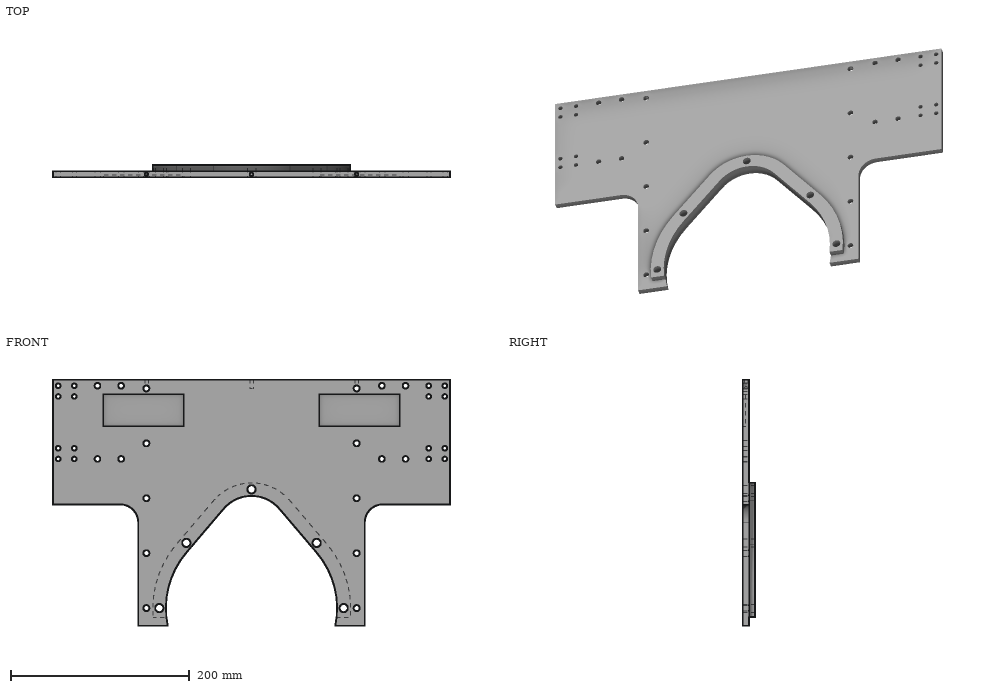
import cadquery as cq
import math

plate_width = 445.0
plate_height = 276.0
plate_thickness = 7.0
wing_height = 140.0
leg_span = 254.0
shoulder_radius = 20.0

arch_center_z = 20.0
arch_radius = 95.75
crown_radius = 41.0
crown_center_z = 104.5

rib_width = 15.0
rib_thickness = 7.0
rib_bottom_z = 10.0

rib_hole_diameter = 9.0
rib_hole_angles = (0, 45, 135, 180)

column_x = 117.75
column_hole_diameter = 6.5
column_hole_count = 5
column_pitch = 61.5

mount_center_z = 228.0
outer_row_offset = 41.0
inner_row_offset = 29.0
small_hole_diameter = 5.0
small_hole_x = (198.5, 216.5)
large_hole_diameter = 6.2
large_hole_x = (146.0, 172.5)

pocket_width = 90.0
pocket_height = 36.0
pocket_depth = 3.0
pocket_x = 121.0
pocket_center_z = 241.5

edge_hole_diameter = 4.0
edge_hole_depth = 10.0


def front_plane(y=0.0):
    """Sketch plane at the given Y with local axes X, Z; negative lengths extrude toward +Y."""
    return cq.Workplane("XZ", origin=(0, y, 0))


def arch(offset, bottom_z, start_y, depth):
    """Solid arch, its outline grown by offset, extruded from start_y toward +Y."""
    lower_radius = arch_radius + offset
    upper_radius = crown_radius + offset
    slope = math.asin((arch_radius - crown_radius) / (crown_center_z - arch_center_z))
    across, up = math.cos(slope), math.sin(slope)
    foot_x = math.sqrt(lower_radius**2 - (arch_center_z - bottom_z) ** 2)
    lower_x, lower_z = lower_radius * across, arch_center_z + lower_radius * up
    upper_x, upper_z = upper_radius * across, crown_center_z + upper_radius * up
    return (
        front_plane(start_y)
        .moveTo(-foot_x, bottom_z)
        .lineTo(foot_x, bottom_z)
        .threePointArc((lower_radius, arch_center_z), (lower_x, lower_z))
        .lineTo(upper_x, upper_z)
        .threePointArc((0, crown_center_z + upper_radius), (-upper_x, upper_z))
        .lineTo(-lower_x, lower_z)
        .threePointArc((-lower_radius, arch_center_z), (-foot_x, bottom_z))
        .close()
        .extrude(-depth)
    )


def plate():
    """T-shaped plate with rounded inside corners where the wings meet the legs."""
    half_width = plate_width / 2
    half_span = leg_span / 2
    shoulder_z = plate_height - wing_height
    blank = (
        front_plane()
        .moveTo(-half_span, 0)
        .lineTo(half_span, 0)
        .lineTo(half_span, shoulder_z)
        .lineTo(half_width, shoulder_z)
        .lineTo(half_width, plate_height)
        .lineTo(-half_width, plate_height)
        .lineTo(-half_width, shoulder_z)
        .lineTo(-half_span, shoulder_z)
        .close()
        .extrude(-plate_thickness)
    )
    margin = plate_thickness
    corners = cq.selectors.BoxSelector(
        (-half_span - margin, -margin, shoulder_z - margin),
        (half_span + margin, plate_thickness + margin, shoulder_z + margin),
    )
    return blank.edges("|Y").edges(corners).fillet(shoulder_radius)


def through_holes(points, diameter):
    """Cylinders through the plate and the rib at (x, z) points."""
    total_thickness = plate_thickness + rib_thickness
    return front_plane().pushPoints(points).circle(diameter / 2).extrude(-total_thickness)


def both_sides(xs, zs):
    """Grid of (x, z) points, mirrored about X = 0."""
    return [(side * x, z) for side in (-1, 1) for x in xs for z in zs]


def rib_holes():
    """Holes along the lower arc of the rib and one at its crown."""
    middle_radius = arch_radius + rib_width / 2
    points = [(0, crown_center_z + crown_radius + rib_width / 2)]
    for angle in rib_hole_angles:
        turn = math.radians(angle)
        points.append((middle_radius * math.cos(turn), arch_center_z + middle_radius * math.sin(turn)))
    return through_holes(points, rib_hole_diameter)


def column_holes():
    levels = [arch_center_z + i * column_pitch for i in range(column_hole_count)]
    return through_holes(both_sides([column_x], levels), column_hole_diameter)


def small_mount_holes():
    offsets = (-outer_row_offset, -inner_row_offset, inner_row_offset, outer_row_offset)
    levels = [mount_center_z + offset for offset in offsets]
    return through_holes(both_sides(small_hole_x, levels), small_hole_diameter)


def large_mount_holes():
    levels = [mount_center_z - outer_row_offset, mount_center_z + outer_row_offset]
    return through_holes(both_sides(large_hole_x, levels), large_hole_diameter)


def pockets():
    return (
        front_plane()
        .pushPoints(both_sides([pocket_x], [pocket_center_z]))
        .rect(pocket_width, pocket_height)
        .extrude(-pocket_depth)
    )


def edge_holes():
    return (
        cq.Workplane("XY", origin=(0, plate_thickness / 2, plate_height))
        .pushPoints([(-column_x, 0), (0, 0), (column_x, 0)])
        .circle(edge_hole_diameter / 2)
        .extrude(-edge_hole_depth)
    )


rib = arch(rib_width, rib_bottom_z, plate_thickness, rib_thickness)
opening = arch(0, 0, 0, plate_thickness + rib_thickness)

result = plate().union(rib).cut(opening)
for cutter in (
    rib_holes(),
    column_holes(),
    small_mount_holes(),
    large_mount_holes(),
    pockets(),
    edge_holes(),
):
    result = result.cut(cutter)